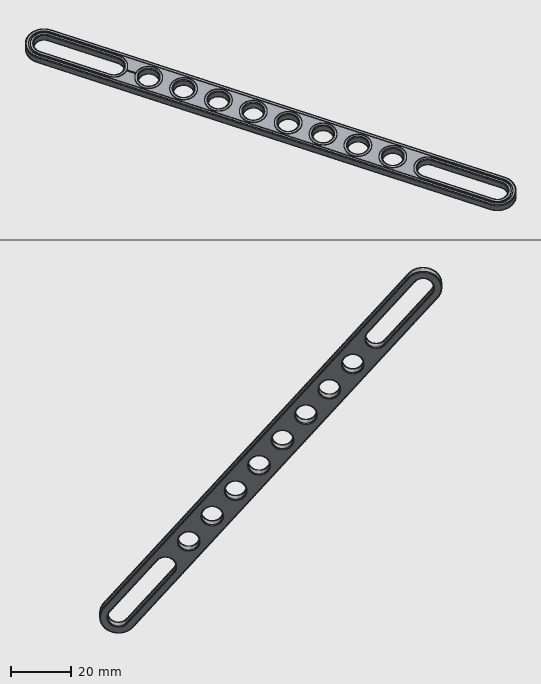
import cadquery as cq

length = 175.0
cell_count = 14
pitch = length / cell_count
width = pitch
thickness = 3.2
end_centre_distance = length - width
edge_chamfer = 0.3

hole_count = 8
first_hole_x = -pitch * (hole_count - 1) / 2
hole_points = [(first_hole_x + i * pitch, 0) for i in range(hole_count)]
opening_width = 7.0
slot_travel = 2 * pitch
slot_centre_x = (end_centre_distance - slot_travel) / 2

rim_width = 1.1
web_depth = 0.2
web_level = thickness - web_depth
collar_diameter = opening_width + 2 * rim_width
rib_width = 0.3


def rounded_bar(centre_x, travel, diameter, bottom, height):
    """Upright round-ended prism whose end centres lie `travel` apart along X."""
    return (
        cq.Workplane("XY", origin=(centre_x, 0, bottom))
        .slot2D(travel + diameter, diameter)
        .extrude(height)
    )


def opening_prisms(diameter, bottom, height):
    """Upright prisms of one width, centred on every round hole and both slots."""
    prisms = (
        cq.Workplane("XY", origin=(0, 0, bottom))
        .pushPoints(hole_points)
        .circle(diameter / 2)
        .extrude(height)
    )
    for side in (-1, 1):
        slot = rounded_bar(side * slot_centre_x, slot_travel, diameter, bottom, height)
        prisms = prisms.union(slot)
    return prisms


def perforated_bar():
    """Bar with its openings, chamfered along every top and bottom edge."""
    blank = rounded_bar(0, end_centre_distance, width, 0, thickness)
    pierced = blank.cut(opening_prisms(opening_width, 0, thickness))
    return pierced.faces("<Z or >Z").edges().chamfer(edge_chamfer)


def joining_rib():
    """Thin rib between the collars of the -X slot and the hole next to it."""
    slot_end_x = -slot_centre_x + slot_travel / 2
    rib_length = first_hole_x - slot_end_x
    rib_centre_x = (first_hole_x + slot_end_x) / 2
    return (
        cq.Workplane("XY", origin=(rib_centre_x, 0, web_level))
        .rect(rib_length, rib_width)
        .extrude(web_depth)
    )


def web_recess():
    """Space above the web: inside the outer rim, around the collars and the rib."""
    inner_width = width - 2 * rim_width
    recess = rounded_bar(0, end_centre_distance, inner_width, web_level, web_depth)
    collars = opening_prisms(collar_diameter, web_level, web_depth)
    return recess.cut(collars).cut(joining_rib())


result = perforated_bar().cut(web_recess())